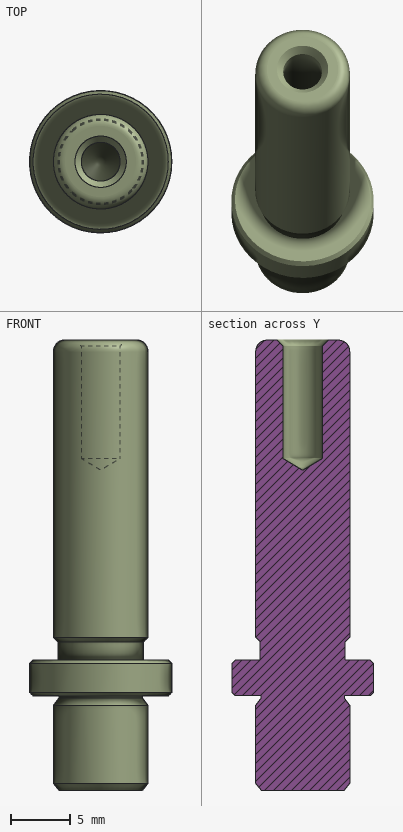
import cadquery as cq
import math

total_height = 38.0
shaft_radius = 4.0
flange_radius = 6.0

flange_bottom = 7.98
flange_thickness = 3.05
flange_chamfer = 0.3
flange_top = flange_bottom + flange_thickness

spigot_end_chamfer_height = 0.6
spigot_end_chamfer_inset = 0.5
lower_neck_radius = 3.55
lower_neck_height = 0.2
spigot_shoulder_height = 0.6
spigot_shoulder_top = flange_bottom - lower_neck_height

upper_neck_radius = 3.6
upper_neck_height = 1.52
pin_bottom = flange_top + upper_neck_height
pin_bottom_chamfer = shaft_radius - upper_neck_radius
tip_round = 1.0

hole_radius = 1.65
hole_depth = 10.0
countersink_radius = 2.15
countersink_depth = countersink_radius - hole_radius
drill_point_angle = 118.0
drill_point_height = hole_radius / math.tan(math.radians(drill_point_angle / 2))


def make_body():
    """Spigot, flange and pin revolved about Z."""
    arc_offset = tip_round * math.sqrt(0.5)
    tip_center_radius = shaft_radius - tip_round
    tip_center_height = total_height - tip_round
    return (
        cq.Workplane("XZ")
        .moveTo(0, 0)
        .lineTo(shaft_radius - spigot_end_chamfer_inset, 0)
        .lineTo(shaft_radius, spigot_end_chamfer_height)
        .lineTo(shaft_radius, spigot_shoulder_top - spigot_shoulder_height)
        .lineTo(lower_neck_radius, spigot_shoulder_top)
        .lineTo(lower_neck_radius, flange_bottom)
        .lineTo(flange_radius - flange_chamfer, flange_bottom)
        .lineTo(flange_radius, flange_bottom + flange_chamfer)
        .lineTo(flange_radius, flange_top - flange_chamfer)
        .lineTo(flange_radius - flange_chamfer, flange_top)
        .lineTo(upper_neck_radius, flange_top)
        .lineTo(upper_neck_radius, pin_bottom)
        .lineTo(shaft_radius, pin_bottom + pin_bottom_chamfer)
        .lineTo(shaft_radius, tip_center_height)
        .threePointArc(
            (tip_center_radius + arc_offset, tip_center_height + arc_offset),
            (tip_center_radius, total_height),
        )
        .lineTo(0, total_height)
        .close()
        .revolve(360, (0, 0), (0, 1))
    )


def make_hole():
    """Countersunk hole with a conical drill point."""
    hole_bottom = total_height - hole_depth
    return (
        cq.Workplane("XZ")
        .moveTo(0, hole_bottom - drill_point_height)
        .lineTo(hole_radius, hole_bottom)
        .lineTo(hole_radius, total_height - countersink_depth)
        .lineTo(countersink_radius, total_height)
        .lineTo(0, total_height)
        .close()
        .revolve(360, (0, 0), (0, 1))
    )


result = make_body().cut(make_hole())